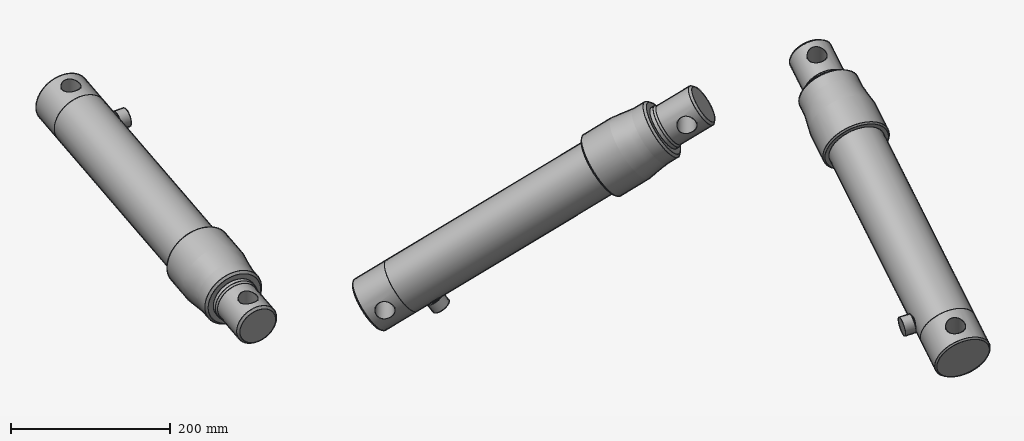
import cadquery as cq

LENGTH = 510.0

PLUG_END = 50.0
GLAND_START = 353.5
TAPER_START = 399.0
TAPER_END = 429.5
GLAND_END = 449.5
ROD_STEP_START = 454.5
ROD_STEP_END = 457.5

TUBE_RADIUS = 75.0 / 2
GLAND_RADIUS = 90.0 / 2
NOSE_RADIUS = 81.0 / 2
ROD_RADIUS = 60.0 / 2
ROD_EYE_RADIUS = 57.0 / 2

PLUG_CHAMFER = 2.0
GLAND_CHAMFER = 2.0
NOSE_CHAMFER = 3.0
ROD_CHAMFER = 3.0

PIN_HOLE_DIAMETER = 25.0
PIN_HOLE_INSET = 25.0

PORT_DIAMETER = 25.0
PORT_X = 74.0
PORT_TOP_Y = 52.5
PORT_SHOULDER_Y = 38.0
PORT_NECK_DIAMETER = 19.0


def cylinder(start, end, radius):
    """Solid cylinder about the X axis between two stations."""
    return cq.Workplane("YZ", origin=(start, 0, 0)).circle(radius).extrude(end - start)


def revolve_about_axis(outline):
    """Revolve a closed outline of (x, radius) points about the X axis."""
    return cq.Workplane("XY").polyline(outline).close().revolve(360, (0, 0, 0), (1, 0, 0))


def pin_hole(x):
    """Vertical cutter for a pin hole that passes right through the ram."""
    return (
        cq.Workplane("XY", origin=(x, 0, 0))
        .circle(PIN_HOLE_DIAMETER / 2)
        .extrude(TUBE_RADIUS, both=True)
    )


def make_base_plug():
    """Solid end of the cylinder, with a chamfered rim and a pin hole."""
    plug = cylinder(0, PLUG_END, TUBE_RADIUS).faces("<X").chamfer(PLUG_CHAMFER)
    return plug.cut(pin_hole(PIN_HOLE_INSET))


def make_tube():
    """Barrel between the plug and the gland, bored to take the rod."""
    tube = cylinder(PLUG_END, GLAND_START, TUBE_RADIUS)
    return tube.cut(cylinder(PLUG_END, GLAND_START, ROD_RADIUS))


def make_gland():
    """Collar around the rod that tapers down to a chamfered nose."""
    return revolve_about_axis([
        (GLAND_START, ROD_RADIUS),
        (GLAND_START, GLAND_RADIUS - GLAND_CHAMFER),
        (GLAND_START + GLAND_CHAMFER, GLAND_RADIUS),
        (TAPER_START, GLAND_RADIUS),
        (TAPER_END, NOSE_RADIUS),
        (GLAND_END - NOSE_CHAMFER, NOSE_RADIUS),
        (GLAND_END, NOSE_RADIUS - NOSE_CHAMFER),
        (GLAND_END, ROD_RADIUS),
    ])


def make_rod():
    """Rod from the plug face to the far end, stepped down to a drilled eye."""
    rod = revolve_about_axis([
        (PLUG_END, 0),
        (PLUG_END, ROD_RADIUS),
        (ROD_STEP_START, ROD_RADIUS),
        (ROD_STEP_END, ROD_EYE_RADIUS),
        (LENGTH - ROD_CHAMFER, ROD_EYE_RADIUS),
        (LENGTH, ROD_EYE_RADIUS - ROD_CHAMFER),
        (LENGTH, 0),
    ])
    return rod.cut(pin_hole(LENGTH - PIN_HOLE_INSET))


def port_cylinder(start_y, end_y, diameter):
    """Solid cylinder along Y at the port station."""
    return (
        cq.Workplane("XZ", origin=(PORT_X, start_y, 0))
        .circle(diameter / 2)
        .extrude(start_y - end_y)
    )


def make_port():
    """Round boss on a narrower neck, whose inner end is saddled onto the tube wall."""
    neck = port_cylinder(0, PORT_SHOULDER_Y, PORT_NECK_DIAMETER)
    boss = port_cylinder(PORT_SHOULDER_Y, PORT_TOP_Y, PORT_DIAMETER)
    return neck.union(boss).cut(cylinder(PLUG_END, GLAND_START, TUBE_RADIUS))


base_plug = make_base_plug()
tube = make_tube()
gland = make_gland()
rod = make_rod()
port = make_port()

result = cq.Compound.makeCompound([
    base_plug.val(),
    tube.val(),
    gland.val(),
    rod.val(),
    port.val(),
])